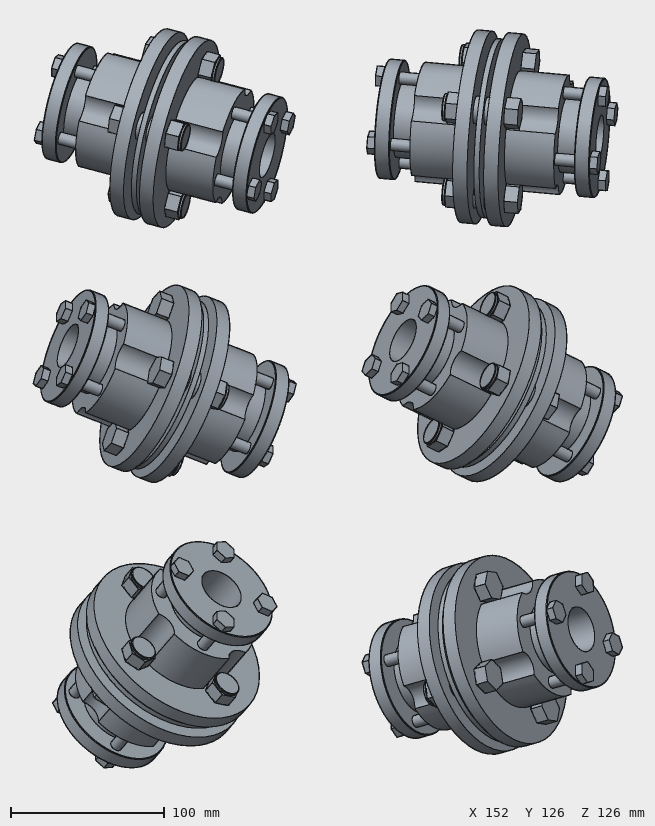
import cadquery as cq
import math


DISC_THICKNESS = 3.5
FLANGE_INNER_X = 5.5
FLANGE_OUTER_X = 15.0
SLEEVE_END_X = 47.5
CLAMP_RING_THICKNESS = 10.0
SCREW_HEAD_HEIGHT = 5.0
OVERALL_LENGTH = 152.0
SCREW_HEAD_X = OVERALL_LENGTH / 2 - SCREW_HEAD_HEIGHT
CLAMP_RING_X = SCREW_HEAD_X - CLAMP_RING_THICKNESS

BORE_DIAMETER = 30.0
FLANGE_DIAMETER = 126.0
DISC_DIAMETER = 117.0
SLEEVE_DIAMETER = 78.0
NECK_DIAMETER = 49.0
RING_CHAMFER = 0.5

SCREW_CIRCLE_RADIUS = 31.75
SCREW_DIAMETER = 8.0
SCREW_ACROSS_FLATS = 13.0

BOLT_CIRCLE_RADIUS = 45.0
BOLT_DIAMETER = 18.0
BOLT_ACROSS_FLATS = 18.0
BOLT_HEAD_HEIGHT = 9.0
BOLT_TIP_LENGTH = 2.25
BOLT_TIP_CHAMFER = 0.5

SCALLOP_RADIUS = 11.0
SCALLOP_OFFSET_ANGLE = -1.4

HEX_SIDES = 6
PLACES = 4
PITCH_ANGLE = 360 / PLACES
BOLT_START_ANGLE = PITCH_ANGLE / 2


def cylinder(diameter, start, end, y=0):
    """Cylinder parallel to X between two stations."""
    return cq.Workplane("YZ", origin=(start, y, 0)).circle(diameter / 2).extrude(end - start)


def hexagon(across_flats, start, end, radius, angle):
    """Hexagonal prism parallel to X with one corner pointing away from the coupling axis."""
    corner_diameter = across_flats / math.cos(math.pi / HEX_SIDES)
    outline = cq.Workplane("YZ", origin=(start, radius, 0)).polygon(HEX_SIDES, corner_diameter)
    return turned(outline.extrude(end - start), angle)


def turned(body, angle):
    """Turn a body about the coupling axis."""
    return body.rotate((0, 0, 0), (1, 0, 0), angle)


def bolt_angles():
    return [BOLT_START_ANGLE + i * PITCH_ANGLE for i in range(PLACES)]


def cut_bolt_holes(body, start, end):
    for angle in bolt_angles():
        body = body.cut(turned(cylinder(BOLT_DIAMETER, start, end, y=BOLT_CIRCLE_RADIUS), angle))
    return body


def make_sleeve():
    """Hub sleeve with a scallop beside each coupling bolt."""
    sleeve = cylinder(SLEEVE_DIAMETER, FLANGE_OUTER_X, SLEEVE_END_X)
    scallop = cylinder(2 * SCALLOP_RADIUS, FLANGE_OUTER_X, SLEEVE_END_X, y=BOLT_CIRCLE_RADIUS)
    for angle in bolt_angles():
        sleeve = sleeve.cut(turned(scallop, angle + SCALLOP_OFFSET_ANGLE))
    return sleeve


def make_hub():
    """Hub on the +X side: flange, scalloped sleeve, neck and screwed clamp ring."""
    flange = cylinder(FLANGE_DIAMETER, FLANGE_INNER_X, FLANGE_OUTER_X)
    flange = cut_bolt_holes(flange, FLANGE_INNER_X, FLANGE_OUTER_X)
    neck = cylinder(NECK_DIAMETER, SLEEVE_END_X, CLAMP_RING_X)
    ring = cylinder(SLEEVE_DIAMETER, CLAMP_RING_X, SCREW_HEAD_X).edges().chamfer(RING_CHAMFER)
    hub = flange.union(make_sleeve()).union(neck).union(ring)

    shank = cylinder(SCREW_DIAMETER, SLEEVE_END_X, CLAMP_RING_X, y=SCREW_CIRCLE_RADIUS)
    head_end = SCREW_HEAD_X + SCREW_HEAD_HEIGHT
    for i in range(PLACES):
        angle = i * PITCH_ANGLE
        head = hexagon(SCREW_ACROSS_FLATS, SCREW_HEAD_X, head_end, SCREW_CIRCLE_RADIUS, angle)
        hub = hub.union(turned(shank, angle)).union(head)

    return hub.cut(cylinder(BORE_DIAMETER, FLANGE_INNER_X, head_end))


def make_disc():
    """Centre disc with the bore and the bolt holes."""
    half = DISC_THICKNESS / 2
    disc = cylinder(DISC_DIAMETER, -half, half).cut(cylinder(BORE_DIAMETER, -half, half))
    return cut_bolt_holes(disc, -half, half)


def make_bolt(angle):
    """Coupling bolt: head on the -X side, nut and chamfered tip on the +X side."""
    outer = FLANGE_OUTER_X + BOLT_HEAD_HEIGHT
    shank = cylinder(BOLT_DIAMETER, -FLANGE_OUTER_X, FLANGE_OUTER_X, y=BOLT_CIRCLE_RADIUS)
    tip = cylinder(BOLT_DIAMETER, outer, outer + BOLT_TIP_LENGTH, y=BOLT_CIRCLE_RADIUS)
    tip = tip.edges().chamfer(BOLT_TIP_CHAMFER)
    head = hexagon(BOLT_ACROSS_FLATS, -outer, -FLANGE_OUTER_X, BOLT_CIRCLE_RADIUS, angle)
    nut = hexagon(BOLT_ACROSS_FLATS, FLANGE_OUTER_X, outer, BOLT_CIRCLE_RADIUS, angle)
    return turned(shank, angle).union(head).union(nut).union(turned(tip, angle))


right_hub = make_hub()
left_hub = right_hub.mirror("YZ")
disc = make_disc()
bolts = [make_bolt(angle) for angle in bolt_angles()]

result = cq.Compound.makeCompound(
    [left_hub.val(), right_hub.val(), disc.val(), *[bolt.val() for bolt in bolts]]
)